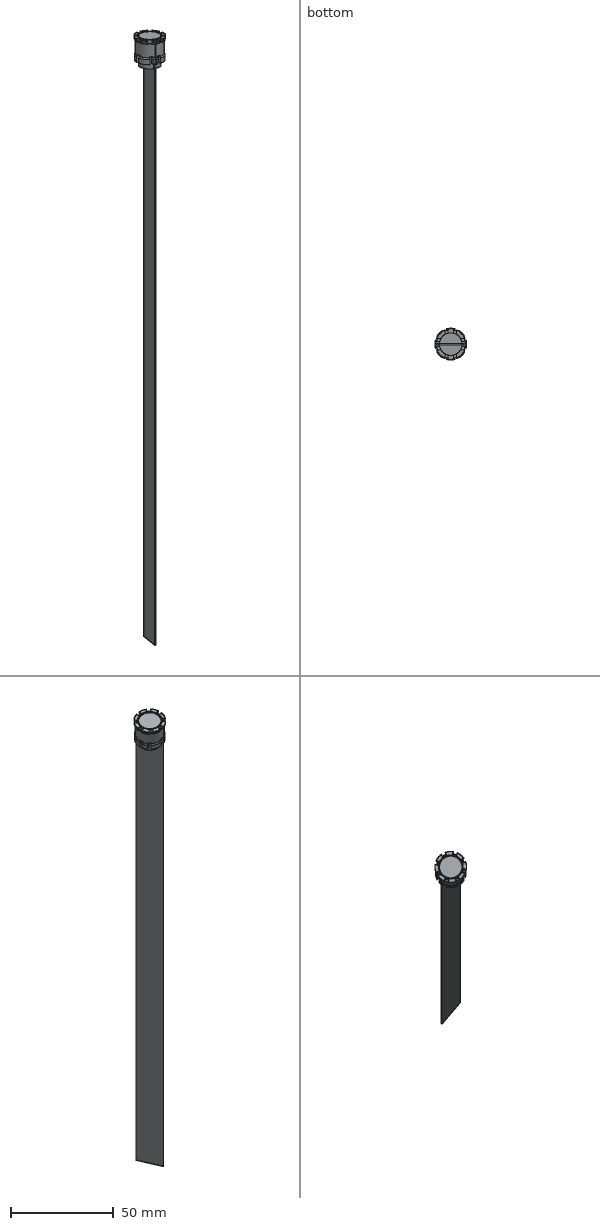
import cadquery as cq

total_length = 312.5
flange_radius = 7.75
flange_thickness = 0.8

collar_height = 12.4
bore_radius = 5.5
bore_chamfer = 0.5
body_radius = 7.1
band_radius = 7.5
upper_band_bottom = 1.9
cone_start = 9.0
cone_height = 0.8

notch_count = 8
notch_width = 2.0
notch_floor_radius = 6.3
notch_depth = upper_band_bottom

finger_count = 4
finger_slot_width = 1.5
finger_slot_offset = 2.0
finger_slot_height = 3.9

groove_floor_radius = 6.2
groove_width = 0.6

plug_length = 15.3
strip_width = 14.0
strip_thickness = 0.6

cutter_reach = flange_radius + 1.0


def radial_cutter(floor_radius, width, bottom, height, angle, offset=0.0):
    """Block from floor_radius outward along +X, shifted sideways by offset, then turned about Z."""
    block = cq.Workplane("XY").box(
        cutter_reach - floor_radius, width, height, centered=(False, True, False)
    )
    return block.translate((floor_radius, offset, bottom)).rotate((0, 0, 0), (0, 0, 1), angle)


def make_collar():
    """Flanged ring with notched flange, fingers in the lower band and two side grooves."""
    profile = [
        (bore_radius, -collar_height),
        (band_radius, -collar_height),
        (band_radius, -cone_start - cone_height),
        (body_radius, -cone_start),
        (body_radius, -upper_band_bottom),
        (band_radius, -upper_band_bottom),
        (band_radius, -flange_thickness),
        (flange_radius, -flange_thickness),
        (flange_radius, 0),
        (bore_radius + bore_chamfer, 0),
        (bore_radius, -bore_chamfer),
    ]
    collar = cq.Workplane("XZ").polyline(profile).close().revolve(360, (0, 0, 0), (0, 1, 0))

    notch_pitch = 360 / notch_count
    for i in range(notch_count):
        angle = (i + 0.5) * notch_pitch
        collar = collar.cut(
            radial_cutter(notch_floor_radius, notch_width, -notch_depth, notch_depth, angle)
        )

    slot_start = bore_radius - 1.0
    for i in range(finger_count):
        angle = i * 360 / finger_count
        for side in (-1, 1):
            collar = collar.cut(
                radial_cutter(
                    slot_start,
                    finger_slot_width,
                    -collar_height,
                    finger_slot_height,
                    angle,
                    side * finger_slot_offset,
                )
            )

    groove_length = collar_height - flange_thickness
    for angle in (0, 180):
        collar = collar.cut(
            radial_cutter(groove_floor_radius, groove_width, -collar_height, groove_length, angle)
        )
    return collar


def make_strip():
    """Flat strip hanging from the underside of the collar."""
    strip_length = total_length - collar_height
    strip = cq.Workplane("XY").box(
        strip_width, strip_thickness, strip_length, centered=(True, True, False)
    )
    return strip.translate((0, 0, -total_length))


def make_plug(strip):
    """Round plug filling the bore, slotted at its lower end for the strip."""
    plug = cq.Workplane("XY").circle(bore_radius).extrude(-plug_length)
    return plug.cut(strip)


collar = make_collar()
strip = make_strip()
plug = make_plug(strip)

result = cq.Compound.makeCompound([collar.solids().val(), plug.solids().val(), strip.val()])